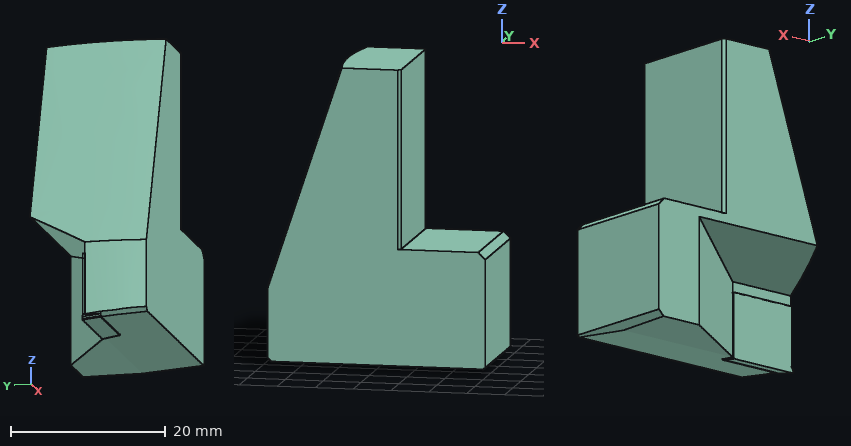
import cadquery as cq

length = 29.85
width = 16.0
height = 39.8
tower_back = 18.7
shelf_height = 16.28
slope_start = 10.43
nose_front_x = 1.1
top_front_x = 10.95
bow = 0.88
tower_chamfer = 0.4
shelf_chamfer = 0.9
nose_chamfer = 0.5

ridge_y = width / 2
underside_front = 0.95
underside_ridge = 0.28
underside_back = 0.4

gullet_back_height = 14.95
gullet_runout = 12.75

insert_thickness = 2.3
insert_proud = 0.28
insert_length = 10.23
insert_height = 8.95
insert_side_x = 0.3
insert_side_relief = 0.5
insert_bottom_relief = 0.35
nib_height = 0.4
nib_root = 0.8
nib_bevel = 0.1

margin = 2.0


def plan_section(z, edge_x):
    """Horizontal outline whose leading side is an arc."""
    return (
        cq.Workplane("XY", origin=(0, 0, z))
        .moveTo(length, 0)
        .lineTo(edge_x, 0)
        .threePointArc((edge_x - bow, width / 2), (edge_x, width))
        .lineTo(length, width)
        .close()
    )


def leading_block():
    """Upright nose with the leaning tower above it."""
    nose = plan_section(0, nose_front_x).extrude(slope_start)
    lower_wire = plan_section(slope_start, nose_front_x).wires().val()
    upper_wire = plan_section(height, top_front_x).wires().val()
    tower = cq.Workplane(cq.Solid.makeLoft([lower_wire, upper_wire], True))
    return nose.union(tower)


def side_profile():
    """Outline in XZ with the shelf and its chamfers, across the full width."""
    points = [
        (-margin, 0),
        (length - shelf_chamfer, 0),
        (length - shelf_chamfer, underside_ridge),
        (length, underside_ridge + shelf_chamfer),
        (length, shelf_height - shelf_chamfer),
        (length - shelf_chamfer, shelf_height),
        (tower_back, shelf_height),
        (tower_back, height),
        (-margin, height),
    ]
    profile = cq.Workplane("XZ").polyline(points).close().extrude(-width)
    tower_edges = cq.selectors.BoxSelector(
        (tower_back - margin, -margin, shelf_height),
        (tower_back + margin, width + margin, height),
    )
    return profile.edges("|Z").edges(tower_edges).chamfer(tower_chamfer)


def underside_cut():
    """Material removed below the two underside planes."""
    points = [
        (0, -margin),
        (0, underside_front),
        (ridge_y, underside_ridge),
        (width, underside_back),
        (width, -margin),
    ]
    cutter_length = length + 2 * margin
    return cq.Workplane("YZ", origin=(-margin, 0, 0)).polyline(points).close().extrude(cutter_length)


def gullet_cut():
    """Gullet with a flat floor, a rising roof and a sloping end wall."""
    roof_points = [
        (ridge_y, -margin),
        (ridge_y, slope_start),
        (width, gullet_back_height),
        (width, -margin),
    ]
    plan_points = [
        (-margin, ridge_y),
        (insert_length, ridge_y),
        (insert_length + gullet_runout, width),
        (-margin, width),
    ]
    roof_origin = (-margin, 0, 0)
    roofed = cq.Workplane("YZ", origin=roof_origin).polyline(roof_points).close().extrude(length)
    plan_origin = (0, 0, -margin)
    plan = cq.Workplane("XY", origin=plan_origin).polyline(plan_points).close().extrude(height)
    return roofed.intersect(plan)


def nose_bevel_cut():
    """Bevel along the corner of the bowed nose and the front underside plane."""
    sections = []
    for y in (0, ridge_y / 2, ridge_y):
        off_center = 2 * y / width - 1
        corner_x = nose_front_x - bow * (1 - off_center**2)
        corner_z = underside_front + (underside_ridge - underside_front) * y / ridge_y
        reach = nose_chamfer + margin
        points = [
            (corner_x - margin, corner_z - margin),
            (corner_x + reach, corner_z - margin),
            (corner_x - margin, corner_z + reach),
        ]
        sections.append(cq.Wire.makePolygon([cq.Vector(x, y, z) for x, z in points], close=True))
    return cq.Workplane(cq.Solid.makeLoft(sections, True))


def make_insert():
    """Insert with its large rake face toward the gullet and relieved sides."""

    def outline(y, side, bottom):
        points = [
            (side, bottom + nib_bevel),
            (side + nib_bevel, bottom),
            (insert_length - nib_bevel, bottom),
            (insert_length, bottom + nib_bevel),
            (insert_length, insert_height),
            (insert_side_x + side, insert_height),
            (insert_side_x + side, bottom + nib_root),
            (side, bottom + nib_height),
        ]
        return cq.Wire.makePolygon([cq.Vector(x, y, z) for x, z in points], close=True)

    rake_y = ridge_y + insert_proud
    rake_wire = outline(rake_y, 0, 0)
    seat_wire = outline(rake_y - insert_thickness, insert_side_relief, insert_bottom_relief)
    return cq.Workplane(cq.Solid.makeLoft([rake_wire, seat_wire], True))


def make_holder(tip):
    """Holder with a pocket that fits the tip."""
    block = leading_block().intersect(side_profile())
    block = block.cut(underside_cut()).cut(gullet_cut()).cut(nose_bevel_cut())
    return block.cut(tip)


insert = make_insert()
holder = make_holder(insert)

result = cq.Compound.makeCompound([*holder.solids().vals(), insert.val()])